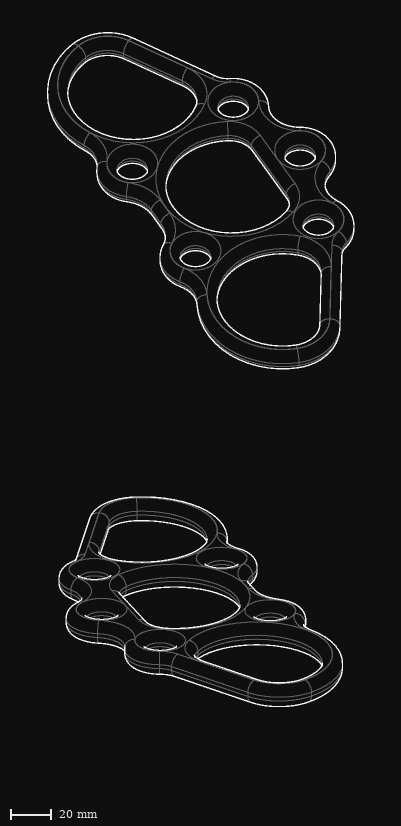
import cadquery as cq
import math

length = 235.5
thickness = 12.0
edge_round = 5.0
crest_flat = 0.12
wall = 2 * edge_round + crest_flat

hole_radius = 7.5
boss_radius = hole_radius + wall
blend_radius = 15.0
base_blend_radius = 17.5
slope_blend_radius = 10.0

middle_radius = 32.3
middle_corner_radius = 12.5

loop_inner_radius = 32.3
loop_outer_radius = loop_inner_radius + wall
loop_center = (-76.3, -13.2)
tip_outer_radius = 25.0
corner_radius = tip_outer_radius - wall
slope_angle = 30.0

top_hole = (0.0, 38.6)
shoulder_hole = (-43.5, 25.0)
lower_hole = (-32.3, loop_center[1] - loop_outer_radius + boss_radius)

middle_top = top_hole[1] - hole_radius - wall
bottom_y = -middle_radius - wall


def polar(center, radius, angle):
    """Point on a circle at an angle in degrees."""
    a = math.radians(angle)
    return (center[0] + radius * math.cos(a), center[1] + radius * math.sin(a))


def toward(start, target, distance):
    """Point at a distance from start on the ray to target."""
    span = math.dist(start, target)
    return tuple(s + (t - s) * distance / span for s, t in zip(start, target))


def mirrored(point):
    return (-point[0], point[1])


def blend_center(first, first_radius, second, second_radius):
    """Centre of the blend arc touching two circles, left of the way from first to second."""
    reach_first = first_radius + blend_radius
    reach_second = second_radius + blend_radius
    span = math.dist(first, second)
    along = (reach_first**2 - reach_second**2 + span**2) / (2 * span)
    offset = math.sqrt(reach_first**2 - along**2)
    ux = (second[0] - first[0]) / span
    uy = (second[1] - first[1]) / span
    return (first[0] + along * ux - offset * uy, first[1] + along * uy + offset * ux)


def arc_middle(center, start, end):
    """Middle point of the shorter arc about center from start to end."""
    chord_middle = ((start[0] + end[0]) / 2, (start[1] + end[1]) / 2)
    return toward(center, chord_middle, math.dist(center, start))


normal_angle = 90 + slope_angle
corner_offset = loop_outer_radius - tip_outer_radius
tip_x = -length / 2 + tip_outer_radius
tip_drop = math.sqrt(corner_offset**2 - (tip_x - loop_center[0]) ** 2)
tip_center = (tip_x, loop_center[1] - tip_drop)
tip_angle = 180 + math.degrees(math.atan2(tip_drop, loop_center[0] - tip_x))
corner_angle = 2 * normal_angle - tip_angle
corner_center = polar(loop_center, corner_offset, corner_angle)


def outline():
    """Outer outline: the left half as arcs and lines from top to bottom, then its mirror image."""
    crown_blend = blend_center(shoulder_hole, boss_radius, top_hole, boss_radius)
    lower_blend = blend_center(lower_hole, boss_radius, loop_center, loop_outer_radius)

    slope_start = polar(tip_center, tip_outer_radius, normal_angle)
    blend_line = polar(slope_start, slope_blend_radius, normal_angle)
    a = math.radians(slope_angle)
    dx = shoulder_hole[0] - blend_line[0]
    dy = shoulder_hole[1] - blend_line[1]
    along = dx * math.cos(a) + dy * math.sin(a)
    across = dy * math.cos(a) - dx * math.sin(a)
    run = along - math.sqrt((boss_radius + slope_blend_radius) ** 2 - across**2)
    slope_blend = polar(blend_line, run, slope_angle)

    base_blend_y = bottom_y - base_blend_radius
    rise = lower_hole[1] - base_blend_y
    base_blend_x = lower_hole[0] + math.sqrt((boss_radius + base_blend_radius) ** 2 - rise**2)
    base_blend = (base_blend_x, base_blend_y)

    start = (0.0, top_hole[1] + boss_radius)
    steps = [
        (toward(top_hole, crown_blend, boss_radius), top_hole),
        (toward(shoulder_hole, crown_blend, boss_radius), crown_blend),
        (toward(shoulder_hole, slope_blend, boss_radius), shoulder_hole),
        (polar(slope_start, run, slope_angle), slope_blend),
        (slope_start, None),
        (polar(tip_center, tip_outer_radius, tip_angle), tip_center),
        (toward(loop_center, lower_blend, loop_outer_radius), loop_center),
        (toward(lower_hole, lower_blend, boss_radius), lower_blend),
        (toward(lower_hole, base_blend, boss_radius), lower_hole),
        ((base_blend_x, bottom_y), base_blend),
    ]

    left = []
    for end, center in steps:
        middle = arc_middle(center, start, end) if center else None
        left.append((start, middle, end))
        start = end
    base_line = (start, None, mirrored(start))
    right = [(mirrored(e), mirrored(m) if m else None, mirrored(s)) for s, m, e in reversed(left)]

    sketch = cq.Workplane("XY").moveTo(*left[0][0])
    for _, middle, end in left + [base_line] + right:
        sketch = sketch.threePointArc(middle, end) if middle else sketch.lineTo(*end)
    return sketch.close()


def middle_opening():
    """Round opening with a flat top and two rounded upper corners."""
    corner_y = middle_top - middle_corner_radius
    corner_x = math.sqrt((middle_radius - middle_corner_radius) ** 2 - corner_y**2)
    corner = (corner_x, corner_y)
    line_end = (corner_x, middle_top)
    round_start = toward((0.0, 0.0), corner, middle_radius)
    corner_middle = arc_middle(corner, line_end, round_start)
    return (
        cq.Workplane("XY")
        .moveTo(*mirrored(line_end))
        .lineTo(*line_end)
        .threePointArc(corner_middle, round_start)
        .threePointArc((0.0, -middle_radius), mirrored(round_start))
        .threePointArc(mirrored(corner_middle), mirrored(line_end))
        .close()
    )


def loop_opening():
    """Left loop opening: a large arc closed by two corner arcs and the sloped side."""
    tip_end = polar(loop_center, loop_inner_radius, tip_angle)
    corner_start = polar(loop_center, loop_inner_radius, corner_angle)
    slope_low = polar(tip_center, corner_radius, normal_angle)
    slope_high = polar(corner_center, corner_radius, normal_angle)
    return (
        cq.Workplane("XY")
        .moveTo(*slope_low)
        .lineTo(*slope_high)
        .threePointArc(arc_middle(corner_center, slope_high, corner_start), corner_start)
        .threePointArc(polar(loop_center, loop_inner_radius, normal_angle + 180), tip_end)
        .threePointArc(arc_middle(tip_center, tip_end, slope_low), slope_low)
        .close()
    )


plate = outline().extrude(thickness)

left_opening = loop_opening().extrude(thickness)
plate = plate.cut(middle_opening().extrude(thickness))
plate = plate.cut(left_opening).cut(left_opening.mirror("YZ"))

hole_centers = [top_hole]
for hole in (shoulder_hole, lower_hole):
    hole_centers += [hole, mirrored(hole)]
holes = cq.Workplane("XY").pushPoints(hole_centers).circle(hole_radius).extrude(thickness)
plate = plate.cut(holes)

result = plate.faces("<Z or >Z").edges().fillet(edge_round)